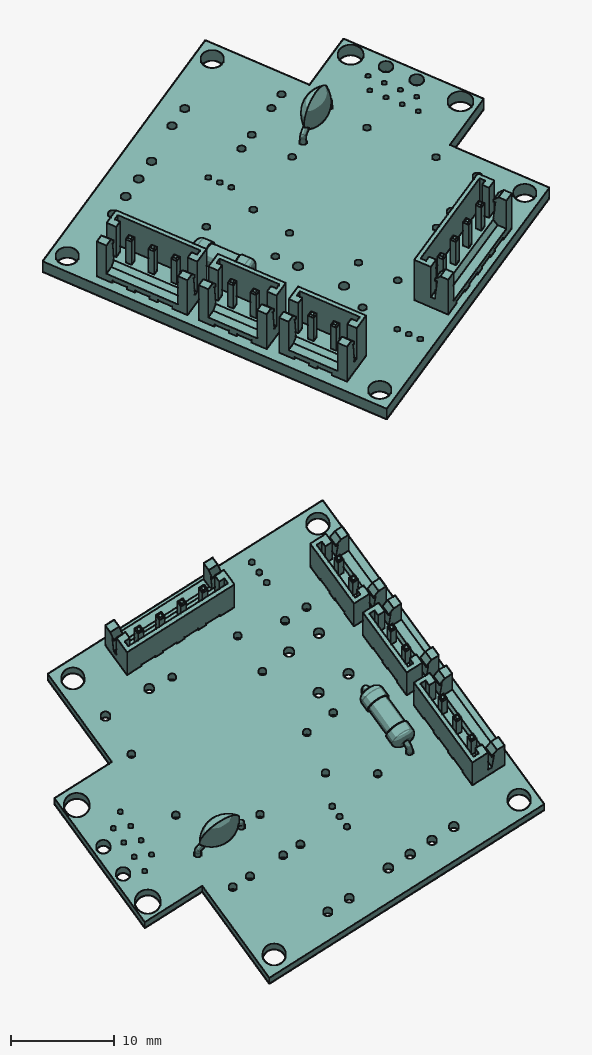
import cadquery as cq
import math


board_length = 38.0
board_width = 32.0
board_thickness = 1.6
board_top = board_thickness
tab_left = 11.5
tab_length = 15.5
tab_depth = 6.68

axial_pitch = 7.62
terminal_pitch = 5.08
strip_pitch = 2.54
header_pitch = 2.5

mount_diameter = 2.25
mount_inset = 1.75

capacitor_x = 14.5
capacitor_y = 27.95
capacitor_lift = 2.5
capacitor_radius = 2.32
capacitor_thickness = 2.55
capacitor_wire = 0.6
capacitor_bend_height = 0.8
capacitor_bend_radius = 0.35
capacitor_tail = 0.3
capacitor_wire_run = 0.8

resistor_x = 15.6
resistor_y = 7.68
resistor_cap_diameter = 2.5
resistor_core_diameter = 2.2
resistor_length = 6.4
resistor_cap_length = 1.6
resistor_cap_round = 0.62
resistor_wire = 0.6
resistor_bend_radius = 0.9
resistor_tail = 1.4

lead_hole = 0.76
small_capacitor_hole = 0.8
spare_header_hole = 0.9
strip_hole = 0.95
switch_hole = 1.0
header_hole = 1.0
transistor_hole = 0.6
socket_hole = 0.5
socket_peg_hole = 2.5
socket_shield_hole = 1.4

header_depth = 3.75
header_height = 6.0
header_end_margin = 5.0
back_wall = 0.45
end_wall = 1.05
back_part_depth = 1.83
slot_width = 0.45
slot_front = back_part_depth + slot_width
front_post_height = 5.2
post_chamfer_depth = 0.6
post_chamfer_height = 0.75
nose_underside = 4.2
nose_undercut = 0.25
floor_height = 1.5
sill_height = 1.0
pocket_front = 1.05
pocket_wall = 0.45
notch_width = 1.6
notch_height = 0.3
pin_depth = 1.65
pin_size = 0.64
pin_height = 5.1
pin_tip_chamfer = 0.15
pin_tail = 1.6
pin_kink = 0.05

headers = [
    (3, 10.5, 3.0, 0),
    (2, 20.5, 3.0, 0),
    (2, 29.25, 3.2, 0),
    (4, 35.25, 19.5, 90),
]


def row(x, y, count, step_x, step_y):
    """Points in a straight row that starts at (x, y)."""
    return [(x + i * step_x, y + i * step_y) for i in range(count)]


def header_pin_offsets(count):
    """Pin positions along a header, measured from the middle of the row."""
    return [(i - (count - 1) / 2) * header_pitch for i in range(count)]


def header_pin_points(count, x, y, turn):
    """Board positions of one header's pins."""
    along_x = math.cos(math.radians(turn))
    along_y = math.sin(math.radians(turn))
    return [(x + offset * along_x, y + offset * along_y) for offset in header_pin_offsets(count)]


mount_holes = [
    (x, y)
    for x in (mount_inset, board_length - mount_inset)
    for y in (mount_inset, board_width - mount_inset)
]
capacitor_holes = row(capacitor_x, capacitor_y - terminal_pitch / 2, 2, 0, terminal_pitch)
resistor_holes = row(resistor_x - axial_pitch / 2, resistor_y, 2, axial_pitch, 0)
header_holes = [point for header in headers for point in header_pin_points(*header)]

socket_pitch = 1.785
socket_shield_pitch = 3.4
socket_holes = row(15.88, 35.73, 4, socket_pitch, 0) + row(16.92, 34.22, 4, socket_pitch, 0)
socket_pegs = [(13.1, 37.25), (25.2, 37.3)]
socket_shield_holes = row(16.8, 37.6, 2, socket_shield_pitch, 0)

transistor_pitch = 1.27
transistor_holes = row(8.74, 17.03, 3, transistor_pitch, 0) + row(33.97, 9.25, 3, transistor_pitch, 0)
axial_holes = (
    row(18.98, 14.75, 2, 0, 2 * axial_pitch)
    + row(26.6, 14.75, 2, 0, 2 * axial_pitch)
    + row(14.5, 15.62, 2, 0, axial_pitch)
    + row(30.99, 14.65, 2, 0, axial_pitch)
    + row(11.62, 11.51, 2, axial_pitch, 0)
)
small_capacitor_pitch = 2.0
small_capacitor_holes = (
    row(9.75, 27.63, 2, 0, small_capacitor_pitch)
    + row(9.75, 21.77, 2, 0, small_capacitor_pitch)
    + row(29.72, 7.5, 2, 0, header_pitch)
)
spare_header_holes = row(2.5, 21.0, 2, 0, header_pitch)
strip_holes = row(2.98, 8.51, 4, 0, strip_pitch)
diode_holes = row(31.26, 24.76, 2, 0, terminal_pitch)
switch_holes = row(21.75, 8.02, 2, terminal_pitch, 0) + row(21.75, 11.5, 2, terminal_pitch, 0)

hole_groups = [
    (mount_diameter, mount_holes),
    (socket_peg_hole, socket_pegs),
    (socket_shield_hole, socket_shield_holes),
    (socket_hole, socket_holes),
    (transistor_hole, transistor_holes),
    (lead_hole, axial_holes + capacitor_holes + resistor_holes),
    (small_capacitor_hole, small_capacitor_holes),
    (spare_header_hole, spare_header_holes),
    (strip_hole, strip_holes + diode_holes),
    (switch_hole, switch_holes),
    (header_hole, header_holes),
]


def make_board():
    main = cq.Workplane("XY").box(board_length, board_width, board_thickness, centered=False)
    tab = (
        cq.Workplane("XY")
        .box(tab_length, tab_depth, board_thickness, centered=False)
        .translate((tab_left, board_width, 0))
    )
    body = main.union(tab)
    for diameter, points in hole_groups:
        drills = cq.Workplane("XY").pushPoints(points).circle(diameter / 2).extrude(board_thickness)
        body = body.cut(drills)
    return body


def make_capacitor():
    """Lens-shaped disc with its axis along X, on two wires that bend in towards it."""
    half = capacitor_thickness / 2
    dome_radius = (capacitor_radius**2 + half**2) / (2 * half)
    body = (
        cq.Workplane("XY")
        .moveTo(-half, 0)
        .radiusArc((0, capacitor_radius), dome_radius)
        .radiusArc((half, 0), dome_radius)
        .close()
        .revolve(360, (0, 0), (1, 0))
        .translate((0, 0, capacitor_lift))
    )
    wire_end = -board_thickness - capacitor_tail
    bend_rise = capacitor_bend_radius * math.sqrt(0.5)
    bend_shift = capacitor_bend_radius - bend_rise
    for side in (-1, 1):
        foot = side * terminal_pitch / 2
        path = (
            cq.Workplane("YZ")
            .moveTo(foot, wire_end)
            .lineTo(foot, capacitor_bend_height)
            .tangentArcPoint((-side * bend_shift, bend_rise))
            .line(-side * capacitor_wire_run, capacitor_wire_run)
        )
        wire = (
            cq.Workplane("XY", origin=(0, foot, wire_end))
            .circle(capacitor_wire / 2)
            .sweep(path)
        )
        body = body.union(wire)
    return body.translate((capacitor_x, capacitor_y, board_top))


def make_resistor():
    """Dumb-bell body along X, resting on the board, on one wire bent down at both ends."""
    half = resistor_length / 2
    core_half = half - resistor_cap_length
    core = (
        cq.Workplane("YZ", origin=(-core_half, 0, 0))
        .circle(resistor_core_diameter / 2)
        .extrude(2 * core_half)
    )
    cap = (
        cq.Workplane("YZ", origin=(core_half, 0, 0))
        .circle(resistor_cap_diameter / 2)
        .extrude(resistor_cap_length)
        .faces(">X")
        .edges()
        .fillet(resistor_cap_round)
    )
    lift = resistor_cap_diameter / 2
    wire_end = -lift - board_thickness - resistor_tail
    foot = axial_pitch / 2
    bend = resistor_bend_radius
    knee = bend * (1 - math.sqrt(0.5))
    path = (
        cq.Workplane("XZ")
        .moveTo(-foot, wire_end)
        .lineTo(-foot, -bend)
        .threePointArc((-foot + knee, -knee), (-foot + bend, 0))
        .lineTo(foot - bend, 0)
        .threePointArc((foot - knee, -knee), (foot, -bend))
        .lineTo(foot, wire_end)
    )
    wire = cq.Workplane("XY", origin=(-foot, 0, wire_end)).circle(resistor_wire / 2).sweep(path)
    body = core.union(cap).union(cap.mirror("YZ")).union(wire)
    return body.translate((resistor_x, resistor_y, board_top + lift))


def along_header(points, length):
    """Outline of (depth from the back wall, height) points, extruded along the pin row."""
    outline = [(pin_depth - depth, height) for depth, height in points]
    return cq.Workplane("YZ", origin=(-length / 2, 0, 0)).polyline(outline).close().extrude(length)


def make_pin(kink):
    """Square pin whose leg kinks towards the open front by `kink` at the board underside."""
    half = pin_size / 2
    centre_line = [
        (pin_depth, pin_height),
        (pin_depth, 0),
        (pin_depth + kink, -board_thickness),
        (pin_depth, -board_thickness - pin_tail),
    ]
    back = [(depth - half, height) for depth, height in centre_line]
    front = [(depth + half, height) for depth, height in reversed(centre_line)]
    pin = along_header(back + front, pin_size)
    return pin.faces("<Z or >Z").edges().chamfer(pin_tip_chamfer)


def make_header(count, x, y, turn):
    length = (count - 1) * header_pitch + header_end_margin
    body = along_header(
        [
            (0, 0),
            (header_depth, 0),
            (header_depth, front_post_height),
            (slot_front + post_chamfer_depth, front_post_height),
            (slot_front, front_post_height - post_chamfer_height),
            (slot_front, nose_underside),
            (slot_front + nose_undercut, nose_underside),
            (slot_front, floor_height),
            (back_part_depth, floor_height),
            (back_part_depth, header_height),
            (0, header_height),
        ],
        length,
    )
    cavity = along_header(
        [
            (back_wall, header_height),
            (back_wall, floor_height),
            (slot_front, floor_height),
            (slot_front + floor_height - sill_height, sill_height),
            (header_depth, sill_height),
            (header_depth, header_height),
        ],
        length - 2 * end_wall,
    )
    pocket = along_header(
        [
            (back_wall, header_height),
            (back_wall, floor_height),
            (pocket_front, floor_height),
            (pocket_front, header_height),
        ],
        length - 2 * pocket_wall,
    )
    notch = along_header(
        [(0, 0), (header_depth, 0), (header_depth, notch_height), (0, notch_height)],
        notch_width,
    )
    body = body.cut(cavity).cut(pocket)
    for number, offset in enumerate(header_pin_offsets(count)):
        kink = pin_kink if number % 2 == 0 else -pin_kink
        body = body.cut(notch.translate((offset, 0, 0)))
        body = body.union(make_pin(kink).translate((offset, 0, 0)))
    return body.rotate((0, 0, 0), (0, 0, 1), turn).translate((x, y, board_top))


board = make_board()
capacitor = make_capacitor()
resistor = make_resistor()
header_bodies = [make_header(*header).val() for header in headers]

result = cq.Compound.makeCompound([board.val(), capacitor.val(), resistor.val(), *header_bodies])